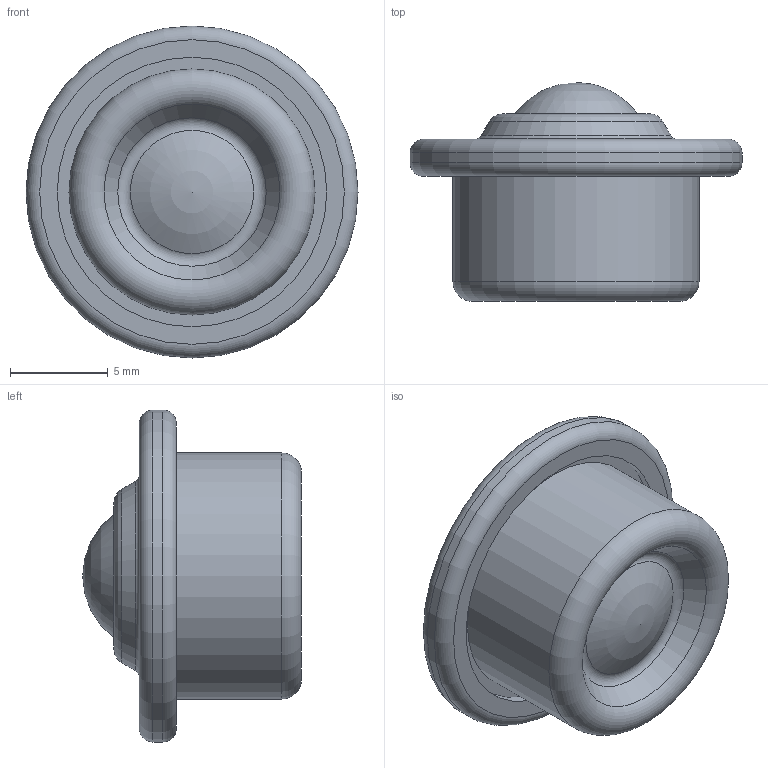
import cadquery as cq
import math


flange_radius = 8.5
flange_thickness = 1.9
flange_edge_radius = 0.7

groove_radius = 6.9
groove_depth = 0.5

body_radius = 6.3
body_length = 6.4
rim_radius = 1.0

cone_half_angle = math.radians(37)
cone_inner_radius = 3.8
hollow_radius = 0.5
dome_radius = 6.5

collar_height = 1.3
collar_half_angle = math.radians(30)
collar_top_flat_radius = 3.75
collar_top_fillet = 0.8
collar_root_fillet = 0.4

ball_radius = 3.9
ball_protrusion = 4.8


def on_circle(center, radius, angle):
    """Point (r, y) on a circle, with the angle measured from +r toward +y."""
    return (center[0] + radius * math.cos(angle), center[1] + radius * math.sin(angle))


def draw_arc(profile, center, radius, start, end):
    """Continue the profile with a circular arc between two angles."""
    middle = on_circle(center, radius, (start + end) / 2)
    return profile.threePointArc(middle, on_circle(center, radius, end))


def draw_dished_end(profile):
    """From the dome apex on the axis, through hollow and cone, around the rim to the body wall."""
    rim_center = (body_radius - rim_radius, -body_length + rim_radius)
    cone_normal = math.pi + cone_half_angle
    cone_start = on_circle(rim_center, rim_radius, cone_normal)
    cone_end = (
        cone_inner_radius,
        cone_start[1] + (cone_start[0] - cone_inner_radius) / math.tan(cone_half_angle),
    )
    hollow_center = on_circle(cone_end, hollow_radius, cone_normal)

    dome_tilt = math.asin(hollow_center[0] / (dome_radius + hollow_radius))
    dome_center = (0, hollow_center[1] + (dome_radius + hollow_radius) * math.cos(dome_tilt))
    dome_apex_angle = -math.pi / 2
    dome_edge_angle = dome_apex_angle + dome_tilt

    profile = profile.moveTo(*on_circle(dome_center, dome_radius, dome_apex_angle))
    profile = draw_arc(profile, dome_center, dome_radius, dome_apex_angle, dome_edge_angle)
    profile = draw_arc(profile, hollow_center, hollow_radius, math.pi + dome_edge_angle, cone_half_angle)
    profile = profile.lineTo(*cone_start)
    return draw_arc(profile, rim_center, rim_radius, cone_normal, 2 * math.pi)


def draw_flange(profile):
    """Up the body wall into the groove, then around the rounded flange edge."""
    edge_r = flange_radius - flange_edge_radius
    lower_center = (edge_r, flange_edge_radius)
    upper_center = (edge_r, flange_thickness - flange_edge_radius)

    profile = profile.lineTo(body_radius, groove_depth)
    profile = profile.lineTo(groove_radius, groove_depth)
    profile = profile.lineTo(groove_radius, 0)
    profile = profile.lineTo(edge_r, 0)
    profile = draw_arc(profile, lower_center, flange_edge_radius, -math.pi / 2, 0)
    profile = profile.lineTo(*on_circle(upper_center, flange_edge_radius, 0))
    return draw_arc(profile, upper_center, flange_edge_radius, 0, math.pi / 2)


def draw_collar(profile):
    """From the flange top, up the tapered collar wall to its flat top."""
    top_y = flange_thickness + collar_height
    top_center = (collar_top_flat_radius, top_y - collar_top_fillet)
    wall_top = on_circle(top_center, collar_top_fillet, collar_half_angle)

    root_center_y = flange_thickness + collar_root_fillet
    wall_bottom_y = root_center_y - collar_root_fillet * math.sin(collar_half_angle)
    wall_bottom_r = wall_top[0] + (wall_top[1] - wall_bottom_y) * math.tan(collar_half_angle)
    root_center_r = wall_bottom_r + collar_root_fillet * math.cos(collar_half_angle)
    root_center = (root_center_r, root_center_y)

    profile = profile.lineTo(root_center_r, flange_thickness)
    profile = draw_arc(
        profile, root_center, collar_root_fillet, 3 * math.pi / 2, math.pi + collar_half_angle
    )
    profile = profile.lineTo(*wall_top)
    return draw_arc(profile, top_center, collar_top_fillet, collar_half_angle, math.pi / 2)


def draw_ball(profile):
    """From the collar's flat top, over the exposed ball cap to the axis."""
    center = (0, ball_protrusion - ball_radius)
    exit_angle = math.asin((flange_thickness + collar_height - center[1]) / ball_radius)
    profile = profile.lineTo(*on_circle(center, ball_radius, exit_angle))
    return draw_arc(profile, center, ball_radius, exit_angle, math.pi / 2)


half_section = draw_dished_end(cq.Workplane("XY"))
half_section = draw_flange(half_section)
half_section = draw_collar(half_section)
half_section = draw_ball(half_section)

result = half_section.close().revolve(360, (0, 0, 0), (0, 1, 0))